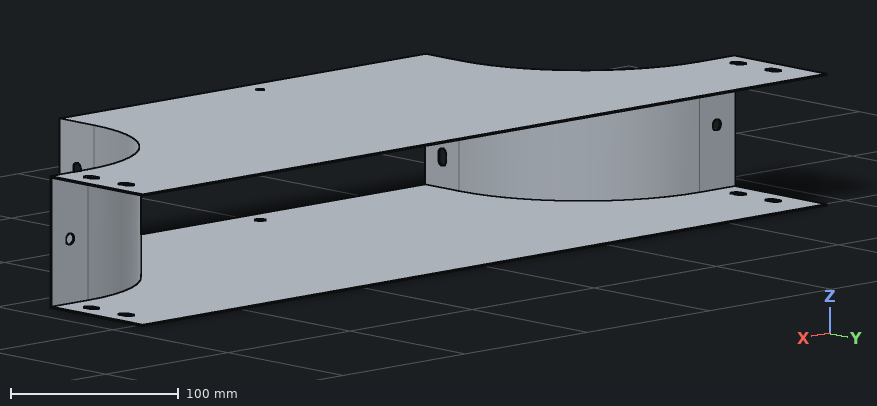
import cadquery as cq

length = 560.0
height = 80.0
arm_width = 80.0
branch_width = 300.0
sheet = 1.0

branch_length = (length - branch_width) / 2
straight_end = 29.5
bend_radius = branch_length - straight_end
depth = arm_width + branch_length

edge_distance = 15.0
slot_width = 7.0
slot_length = 10.5
slot_pitch = 30.0
wall_hole_diameter = 7.0
top_hole_diameter = 5.0
bottom_hole_diameter = 7.0

half_length = length / 2
half_branch = branch_width / 2
back = depth / 2
front = -depth / 2
arm_front = back - arm_width
top = height / 2
slot_offsets = [slot_pitch, 2 * slot_pitch]
sides = [-1, 1]


def tee_outline(inset):
    """Tee profile whose walled edges are moved inwards by inset."""
    half_mouth = half_branch - inset
    shoulder = arm_front + inset
    radius = bend_radius + inset
    bend_x = half_length - straight_end
    bend_y = front + straight_end
    diagonal = radius * 0.5 ** 0.5
    return (
        cq.Workplane("XY")
        .moveTo(-half_length, back)
        .lineTo(half_length, back)
        .lineTo(half_length, shoulder)
        .lineTo(bend_x, shoulder)
        .threePointArc((bend_x - diagonal, bend_y + diagonal), (half_mouth, bend_y))
        .lineTo(half_mouth, front)
        .lineTo(-half_mouth, front)
        .lineTo(-half_mouth, bend_y)
        .threePointArc((-bend_x + diagonal, bend_y + diagonal), (-bend_x, shoulder))
        .lineTo(-half_length, shoulder)
        .close()
    )


shell = tee_outline(0).extrude(height).translate((0, 0, -top))
cavity = tee_outline(sheet).extrude(height - 2 * sheet).translate((0, 0, sheet - top))
result = shell.cut(cavity)

plate_slots = (
    cq.Workplane("XY")
    .pushPoints([(s * (half_length - edge_distance), back - d) for s in sides for d in slot_offsets])
    .slot2D(slot_length, slot_width, 90)
    .extrude(height, both=True)
)

mouth_holes = cq.Workplane("XY").center(0, front + edge_distance)
top_hole = mouth_holes.circle(top_hole_diameter / 2).extrude(height)
bottom_hole = mouth_holes.circle(bottom_hole_diameter / 2).extrude(-height)

wall_holes = (
    cq.Workplane("XZ")
    .pushPoints([(s * (half_length - edge_distance), 0) for s in sides])
    .circle(wall_hole_diameter / 2)
    .extrude(depth, both=True)
)

wall_slots = (
    cq.Workplane("YZ")
    .pushPoints([(front + edge_distance, top - d) for d in slot_offsets])
    .slot2D(slot_length, slot_width, 90)
    .extrude(length, both=True)
)

for cutter in (plate_slots, top_hole, bottom_hole, wall_holes, wall_slots):
    result = result.cut(cutter)